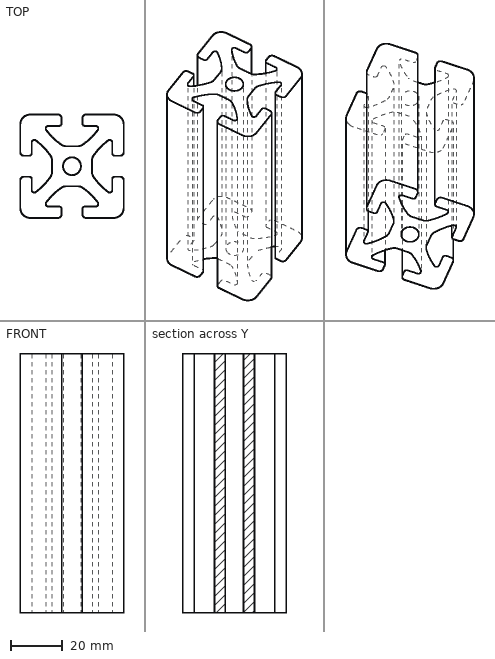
import cadquery as cq
import math

width = 40.0
length = 100.0
corner_radius = 4.0
bore_diameter = 6.8

slot_opening = 8.0
lip_thickness = 4.5
core_width = 15.5
web_offset = 4.5
wall_bulge = 0.6
lip_outer_radius = 1.5
lip_inner_radius = 1.0
slot_tip_radius = 1.0
slot_floor_radius = 3.6

half_width = width / 2
half_opening = slot_opening / 2
lip_inside = half_width - lip_thickness
floor_height = core_width / 2
floor_half_width = floor_height - web_offset
tip_half_width = lip_inside - web_offset


def round_edge_pair(body, x, y, radius):
    """Fillet the two mirrored lengthwise edges at (-x, y) and (x, y)."""
    for side in (-1, 1):
        edge_finder = cq.selectors.BoxSelector(
            (side * x - 0.1, y - 0.1, -1),
            (side * x + 0.1, y + 0.1, length + 1),
        )
        body = body.edges("|Z").edges(edge_finder).fillet(radius)
    return body


def make_slot_cutter():
    """T-slot on the +Y side, with slightly curved diagonal walls down to a flat floor."""
    bulge_step = wall_bulge * math.sqrt(0.5)
    wall_middle_x = (floor_half_width + tip_half_width) / 2 + bulge_step
    wall_middle_y = (floor_height + lip_inside) / 2 - bulge_step
    cutter = (
        cq.Workplane("XY")
        .moveTo(-floor_half_width, floor_height)
        .lineTo(floor_half_width, floor_height)
        .threePointArc((wall_middle_x, wall_middle_y), (tip_half_width, lip_inside))
        .lineTo(half_opening, lip_inside)
        .lineTo(half_opening, half_width)
        .lineTo(-half_opening, half_width)
        .lineTo(-half_opening, lip_inside)
        .lineTo(-tip_half_width, lip_inside)
        .threePointArc((-wall_middle_x, wall_middle_y), (-floor_half_width, floor_height))
        .close()
        .extrude(length)
    )
    cutter = round_edge_pair(cutter, floor_half_width, floor_height, slot_floor_radius)
    return round_edge_pair(cutter, tip_half_width, lip_inside, slot_tip_radius)


def cut_slot(body):
    """Cut the +Y slot and round both edges of each lip."""
    body = body.cut(make_slot_cutter())
    body = round_edge_pair(body, half_opening, lip_inside, lip_inner_radius)
    return round_edge_pair(body, half_opening, half_width, lip_outer_radius)


bar = cq.Workplane("XY").rect(width, width).extrude(length)
bar = bar.edges("|Z").fillet(corner_radius)

for _ in range(4):
    bar = cut_slot(bar).rotate((0, 0, 0), (0, 0, 1), 90)

result = bar.faces(">Z").workplane(origin=(0, 0, length)).hole(bore_diameter)